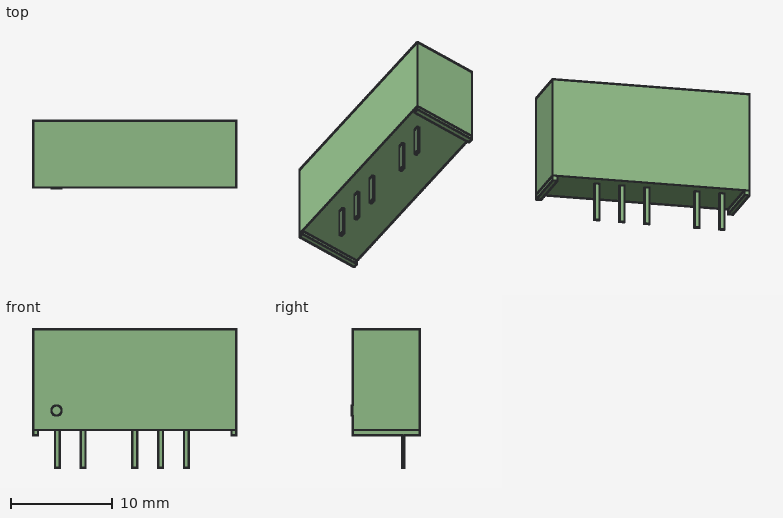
import cadquery as cq

HOUSING_LENGTH = 20.0
HOUSING_DEPTH = 6.6
HOUSING_HEIGHT = 9.95

FOOT_WIDTH = 0.5
FOOT_HEIGHT = 0.5

PIN_WIDTH = 0.5
PIN_THICKNESS = 0.25
PIN_LENGTH = 3.7
PIN_PITCH = 2.55
PIN_STEPS = (-3, -2, 0, 1, 2)
PIN_TO_BACK = 1.65

MARKER_DIAMETER = 1.0
MARKER_HEIGHT = 0.1
MARKER_X = -7.7
MARKER_Z = 1.95


def make_housing():
    """Block with its underside at Z = 0."""
    return cq.Workplane("XY").box(
        HOUSING_LENGTH, HOUSING_DEPTH, HOUSING_HEIGHT, centered=(True, False, False)
    )


def make_foot(side):
    """Foot flush with the end of the housing; side is -1 or +1 along X."""
    center_x = side * (HOUSING_LENGTH - FOOT_WIDTH) / 2
    return (
        cq.Workplane("XY")
        .box(FOOT_WIDTH, HOUSING_DEPTH, FOOT_HEIGHT, centered=(True, False, False))
        .translate((center_x, 0, -FOOT_HEIGHT))
    )


def make_pin(step):
    """Pin hanging from the underside of the housing, a number of pitch steps from the middle."""
    return (
        cq.Workplane("XY")
        .box(PIN_WIDTH, PIN_THICKNESS, PIN_LENGTH, centered=(True, True, False))
        .translate((step * PIN_PITCH, HOUSING_DEPTH - PIN_TO_BACK, -PIN_LENGTH))
    )


def make_marker():
    """Disc standing out of the front face towards -Y."""
    return (
        cq.Workplane("XZ")
        .center(MARKER_X, MARKER_Z)
        .circle(MARKER_DIAMETER / 2)
        .extrude(MARKER_HEIGHT)
    )


housing = make_housing()
marker = make_marker()
feet = [make_foot(side) for side in (-1, 1)]
pins = [make_pin(step) for step in PIN_STEPS]

result = cq.Compound.makeCompound(
    [body.val() for body in [housing, marker, *feet, *pins]]
)